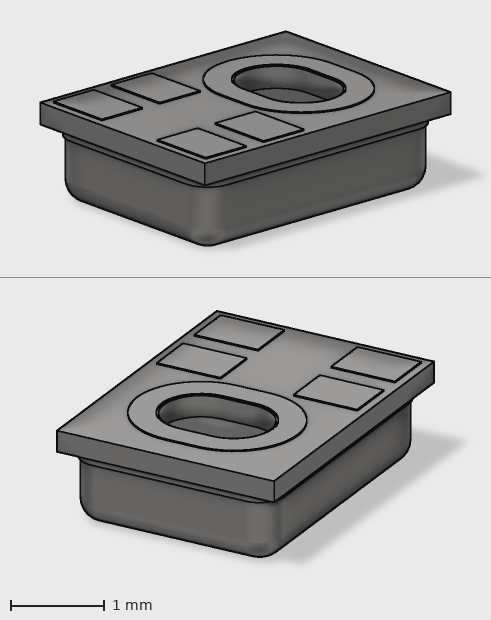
import cadquery as cq

board_width = 2.65
board_length = 3.5
board_thickness = 0.25
pad_thickness = 0.015

pad_margin = 0.1
pad_width = 0.777
pad_length = 0.575
pad_row_pitch = 0.822

port_y = 0.615
port_straight = 0.4
port_width = 0.903
ring_inner_width = 0.952
ring_outer_width = 1.56

total_height = 1.11
can_height = total_height - board_thickness - pad_thickness
can_width = 2.43
can_length = 3.29
can_corner_radius = 0.28
can_bottom_radius = 0.255
frame_height = 0.105
frame_overhang = 0.025

board_top = board_thickness


def port_slot(width, base_z, height):
    """Solid slot along X, centred on the sound port."""
    return (
        cq.Workplane("XY", origin=(0, port_y, base_z))
        .slot2D(port_straight + width, width)
        .extrude(height)
    )


def rounded_block(width, length, corner_radius, height):
    """Block hanging down from the underside of the board, with rounded vertical edges."""
    return cq.Workplane("XY").rect(width, length).extrude(-height).edges("|Z").fillet(corner_radius)


def make_board():
    """Board with its contact pads, port ring and through port."""
    board = cq.Workplane("XY").rect(board_width, board_length).extrude(board_thickness)

    pad_x = board_width / 2 - pad_margin - pad_width / 2
    first_row_y = -board_length / 2 + pad_margin + pad_length / 2
    pad_centers = [
        (side * pad_x, first_row_y + row * pad_row_pitch) for side in (-1, 1) for row in range(2)
    ]
    pads = (
        cq.Workplane("XY", origin=(0, 0, board_top))
        .pushPoints(pad_centers)
        .rect(pad_width, pad_length)
        .extrude(pad_thickness)
    )
    ring = port_slot(ring_outer_width, board_top, pad_thickness).cut(
        port_slot(ring_inner_width, board_top, pad_thickness)
    )
    return board.union(pads).union(ring).cut(port_slot(port_width, 0, board_thickness))


def make_can():
    """Can with rounded corners and a rounded bottom; its top face closes the port."""
    can = rounded_block(can_width, can_length, can_corner_radius, can_height)
    return can.faces("<Z").edges().fillet(can_bottom_radius)


def make_solder_frame():
    """Narrow frame under the board that follows the rim of the can."""
    outer = rounded_block(
        can_width + 2 * frame_overhang,
        can_length + 2 * frame_overhang,
        can_corner_radius + frame_overhang,
        frame_height,
    )
    opening = rounded_block(can_width, can_length, can_corner_radius, frame_height)
    return outer.cut(opening)


board = make_board()
can = make_can()
solder_frame = make_solder_frame()

result = cq.Compound.makeCompound(
    [board.solids().val(), can.solids().val(), solder_frame.solids().val()]
)